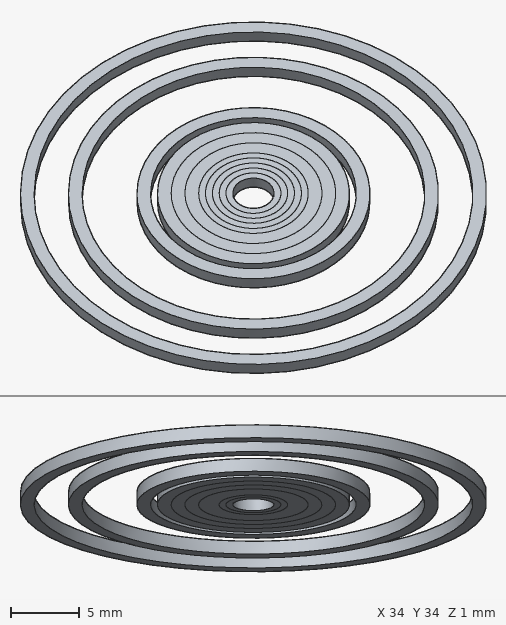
import cadquery as cq

thickness = 1.0

loose_rings = [(32.0, 34), (25.0, 27.0), (15.0, 17)]
nested_edges = [8.0, 10.0, 12.0, 14.0]
core_edges = [3.0, 4.0, 5.0]

carrier_inner = core_edges[-1]
carrier_outer = nested_edges[0]

inlay_inner = 6.0
inlay_outer = 7.0
inlay_height = thickness / 2


def make_ring(inner_diameter, outer_diameter, height=thickness, bottom=0):
    """Flat ring on the Z axis, with its underside at the given height."""
    return (
        cq.Workplane("XY", origin=(0, 0, bottom))
        .circle(outer_diameter / 2)
        .circle(inner_diameter / 2)
        .extrude(height)
    )


def make_inlay():
    """Half-height ring that reaches up to the common top face."""
    return make_ring(inlay_inner, inlay_outer, inlay_height, thickness - inlay_height)


def make_carrier():
    """Ring with an annular groove in its top that matches the inlay."""
    return make_ring(carrier_inner, carrier_outer).cut(make_inlay()).solids()


def touching_pairs(edges):
    """Inner and outer diameters of rings that fit one inside the next."""
    return list(zip(edges, edges[1:]))


ring_sizes = loose_rings + touching_pairs(nested_edges) + touching_pairs(core_edges)
rings = [make_ring(inner, outer) for inner, outer in ring_sizes]
carrier = make_carrier()
inlay = make_inlay()

result = cq.Compound.makeCompound([*(ring.val() for ring in rings), carrier.val(), inlay.val()])